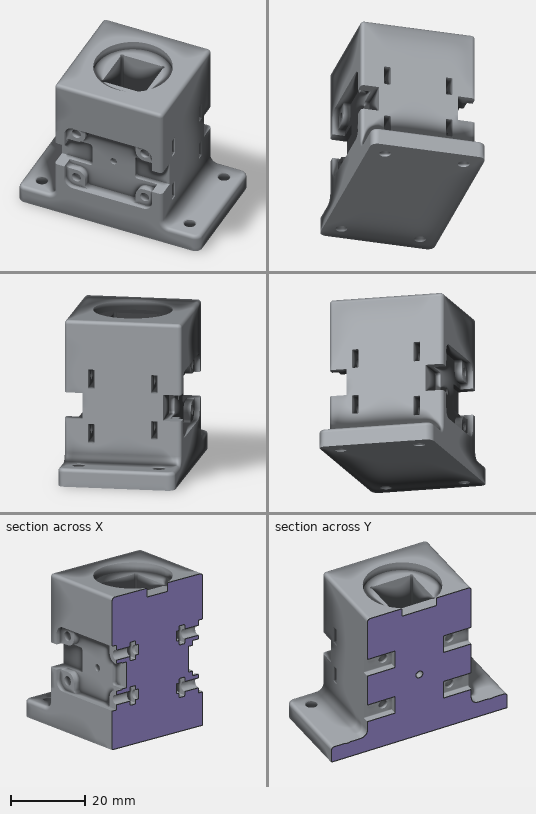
import cadquery as cq
LENGTH = 54.0
DEPTH = 32.0
HEIGHT = 43.5
TOWER_WIDTH = DEPTH
FLANGE_HEIGHT = 4.95
FLANGE_CORNER_RADIUS = 2.0
ROOT_RADIUS = 2.0
EDGE_RADIUS = 1.0

MOUNT_DIAMETER = 3.2
MOUNT_BEVEL = 0.2
MOUNT_X = 22.0
MOUNT_Y = 11.0

RECESS_DIAMETER = 21.5
RECESS_DEPTH = 2.5
WELL_SIDE = 12.6
WELL_FLOOR_Z = FLANGE_HEIGHT
RELIEF_RADIUS = 0.5
RELIEF_INSET = 0.2

BOSS_FACE_DEPTH = 1.5
POCKET_DEPTH = 3.5
NOTCH_DEPTH = 4.95
POCKET_RADIUS = 2.7
BOSS_INNER_RADIUS = 2.5
SCREW_X = 10.15
BOSS_OUTER_X = 2.85
BOSS_INNER_X = 2.65
BOSS_OUTER_Z = 2.8
BOSS_INNER_Z = 2.55
BOSS_ROOT_RADIUS = 0.75
NOTCH_HEIGHT = 7.25
NOTCH_INNER_X = 6.3
NOTCH_RADIUS = 0.75
SCREW_DIAMETER = 2.7
FRONT_CENTER_Z = 20.0
FRONT_SCREW_Z = 7.5
FRONT_NUT_HEIGHT = 5.35
BACK_CENTER_Z = 20.35
BACK_SCREW_Z = 6.35
BACK_NUT_HEIGHT = 5.15

NUT_THICKNESS = 1.85
NUT_SLOT_Y = 8.65
NUT_SLOT_DEPTH = 8.55
NUT_SLOT_RADIUS = 0.25
SCREW_END_DEPTH = DEPTH / 2 - NUT_SLOT_Y + NUT_THICKNESS

SIGHT_DIAMETER = 2.0

SIGNS = (-1, 1)


def make_body():
    """Tower standing on a flange, with rounded edges everywhere but the bottom."""
    flange = cq.Workplane("XY").box(LENGTH, DEPTH, FLANGE_HEIGHT, centered=(True, True, False))
    tower = cq.Workplane("XY").box(TOWER_WIDTH, DEPTH, HEIGHT, centered=(True, True, False))
    body = flange.union(tower).clean()
    body = body.faces("<X or >X").edges("|Z").fillet(FLANGE_CORNER_RADIUS)

    inner_corners = cq.selectors.BoxSelector(
        (-TOWER_WIDTH / 2 - 0.55, -0.55, FLANGE_HEIGHT - 0.55),
        (TOWER_WIDTH / 2 + 0.55, 0.55, FLANGE_HEIGHT + 0.55),
    )
    body = body.edges(inner_corners).fillet(ROOT_RADIUS)

    above_flange_side = cq.selectors.BoxSelector(
        (-LENGTH, -DEPTH, FLANGE_HEIGHT - 0.05),
        (LENGTH, DEPTH, HEIGHT + 0.05),
    )
    return body.faces("<Y or >Y or >Z").edges(above_flange_side).fillet(EDGE_RADIUS)


def make_mount_holes():
    """Four holes down through the flanges, bevelled at the top."""
    radius = MOUNT_DIAMETER / 2
    profile = [
        (0, 0),
        (radius, 0),
        (radius, FLANGE_HEIGHT - MOUNT_BEVEL),
        (radius + MOUNT_BEVEL, FLANGE_HEIGHT),
        (0, FLANGE_HEIGHT),
    ]
    hole = cq.Workplane("XZ").polyline(profile).close().revolve(axisStart=(0, 0), axisEnd=(0, 1))
    spots = [(sx * MOUNT_X, sy * MOUNT_Y) for sx in SIGNS for sy in SIGNS]
    return cq.Workplane("XY").pushPoints(spots).eachpoint(lambda spot: hole.val().moved(spot))


def make_well():
    """Round recess with a square well below it, relieved in its four corners."""
    recess = (
        cq.Workplane("XY", origin=(0, 0, HEIGHT - RECESS_DEPTH))
        .circle(RECESS_DIAMETER / 2)
        .extrude(RECESS_DEPTH)
    )
    well_height = HEIGHT - RECESS_DEPTH - WELL_FLOOR_Z
    floor = cq.Workplane("XY", origin=(0, 0, WELL_FLOOR_Z))
    square = floor.rect(WELL_SIDE, WELL_SIDE).extrude(well_height)
    relief_spacing = WELL_SIDE - 2 * RELIEF_INSET
    reliefs = (
        floor.rect(relief_spacing, relief_spacing, forConstruction=True)
        .vertices()
        .circle(RELIEF_RADIUS)
        .extrude(well_height)
    )
    return recess.union(square).union(reliefs)


def sunk_block(x_range, z_range, y_range):
    """Block spanning the given ranges, with y counted inward from the front face."""
    return (
        cq.Workplane("XY")
        .box(x_range[1] - x_range[0], y_range[1] - y_range[0], z_range[1] - z_range[0], centered=False)
        .translate((x_range[0], y_range[0] - DEPTH / 2, z_range[0]))
    )


def make_pocket(screw_z):
    """Cutter for a front pocket centred on z = 0, with its notches, bosses and screw holes."""
    half_width = SCREW_X + BOSS_OUTER_X
    half_height = screw_z + BOSS_OUTER_Z
    boss_x = SCREW_X - BOSS_INNER_X
    boss_z = screw_z - BOSS_INNER_Z

    opening = sunk_block((-half_width, half_width), (-half_height, half_height), (0, BOSS_FACE_DEPTH))
    opening = opening.edges("|Y").fillet(POCKET_RADIUS)

    floor_span = (BOSS_FACE_DEPTH, POCKET_DEPTH)
    upright = sunk_block((-boss_x, boss_x), (-half_height, half_height), floor_span)
    crossbar = sunk_block((-half_width, half_width), (-boss_z, boss_z), floor_span)
    cross = upright.union(crossbar)
    boss_corners = cq.selectors.BoxSelector(
        (-boss_x - 0.55, -DEPTH, -boss_z - 0.55), (boss_x + 0.55, DEPTH, boss_z + 0.55)
    )
    cross = cross.edges("|Y").edges(boss_corners).fillet(BOSS_INNER_RADIUS)
    boss_roots = cross.edges("|Y").edges("<X or >X or <Z or >Z")
    cross = boss_roots.fillet(BOSS_ROOT_RADIUS)

    cutter = opening.union(cross)
    for side in SIGNS:
        notch_x = sorted((side * NOTCH_INNER_X, side * LENGTH / 2))
        notch = sunk_block(notch_x, (-NOTCH_HEIGHT / 2, NOTCH_HEIGHT / 2), (0, NOTCH_DEPTH))
        inner_end = "<X" if side > 0 else ">X"
        cutter = cutter.union(notch.faces(inner_end).edges("|Y").fillet(NOTCH_RADIUS))

    spots = [(sx * SCREW_X, sz * screw_z) for sx in SIGNS for sz in SIGNS]
    screws = (
        cq.Workplane("XZ", origin=(0, -DEPTH / 2, 0))
        .pushPoints(spots)
        .circle(SCREW_DIAMETER / 2)
        .extrude(-SCREW_END_DEPTH)
    )
    return cutter.union(screws)


def make_nut_slots(screw_z, slot_height):
    """Slots from both sides of the tower across the screw holes of a front pocket."""
    inward = DEPTH / 2 - NUT_SLOT_Y
    y_range = (inward - NUT_THICKNESS / 2, inward + NUT_THICKNESS / 2)
    slots = cq.Workplane("XY")
    for side in SIGNS:
        outer_x = side * TOWER_WIDTH / 2
        x_range = sorted((outer_x, outer_x - side * NUT_SLOT_DEPTH))
        for sign in SIGNS:
            z_range = (sign * screw_z - slot_height / 2, sign * screw_z + slot_height / 2)
            slot = sunk_block(x_range, z_range, y_range)
            slots = slots.add(slot.edges("|X").fillet(NUT_SLOT_RADIUS))
    return slots.combine()


def make_face_cutter(center_z, screw_z, slot_height):
    """Everything cut for one pocketed face, moved to its height."""
    cutter = make_pocket(screw_z).union(make_nut_slots(screw_z, slot_height))
    return cutter.translate((0, 0, center_z))


front_cutter = make_face_cutter(FRONT_CENTER_Z, FRONT_SCREW_Z, FRONT_NUT_HEIGHT)
back_cutter = make_face_cutter(BACK_CENTER_Z, BACK_SCREW_Z, BACK_NUT_HEIGHT).mirror("XZ")
sight_hole = (
    cq.Workplane("XZ", origin=(0, DEPTH / 2, FRONT_CENTER_Z)).circle(SIGHT_DIAMETER / 2).extrude(DEPTH)
)

result = (
    make_body()
    .cut(make_mount_holes())
    .cut(make_well())
    .cut(front_cutter)
    .cut(back_cutter)
    .cut(sight_hole)
)